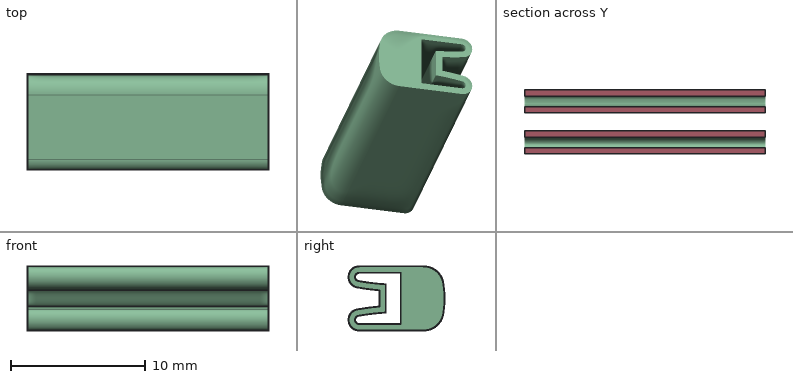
import cadquery as cq
import math

length = 18.0
depth = 7.18
height = 4.8

wall = 0.5
back_radius = 6.8
back_corner_radius = 1.5

lip_radius = 0.8
flank_radius = 18.0
flank_join_angle = math.radians(10.2)

groove_depth = 2.3
cavity_depth = 3.9

front_y = -depth / 2
back_y = depth / 2
half_height = height / 2
lip_y = front_y + lip_radius
lip_z = half_height - lip_radius
groove_y = front_y + groove_depth
web_y = groove_y + wall
cavity_y = front_y + cavity_depth

centre_offset = flank_radius - lip_radius
flank_centre_y = lip_y + centre_offset * math.sin(flank_join_angle)
flank_centre_z = lip_z + centre_offset * math.cos(flank_join_angle)

back_centre_y = back_y - back_radius
corner_z = half_height - back_corner_radius
back_angle = math.asin(corner_z / (back_radius - back_corner_radius))
corner_y = back_centre_y + (back_radius - back_corner_radius) * math.cos(back_angle)


def start_section(start_y, top_z):
    """Section on the -X end plane, begun with the straight run from start_y to the upper lip."""
    end_plane = cq.Workplane("YZ", origin=(-length / 2, 0, 0))
    return end_plane.moveTo(start_y, top_z).lineTo(lip_y, top_z)


def flank_point(y, inset):
    """Point at y on the upper lip's flank, inset from its outer surface."""
    radius = flank_radius - inset
    return y, flank_centre_z - math.sqrt(radius**2 - (y - flank_centre_y) ** 2)


def lip_join(inset):
    """Point where the upper lip's end arc meets its flank."""
    radius = lip_radius - inset
    return lip_y - radius * math.sin(flank_join_angle), lip_z - radius * math.cos(flank_join_angle)


def mirrored(point):
    """The same point on the lower half of the section."""
    return point[0], -point[1]


def lips(section, inset, web_face_y):
    """From the top of the upper lip, round both lips by way of the web, to the bottom of the lower lip."""
    tip = (lip_y - (lip_radius - inset), lip_z)
    join = lip_join(inset)
    web_corner = flank_point(web_face_y, inset)
    flank_middle = flank_point((join[0] + web_face_y) / 2, inset)
    lip_end = (lip_y, -(half_height - inset))
    return (
        section.threePointArc(tip, join)
        .threePointArc(flank_middle, web_corner)
        .lineTo(*mirrored(web_corner))
        .threePointArc(mirrored(flank_middle), mirrored(join))
        .threePointArc(mirrored(tip), lip_end)
    )


def corner_point(angle):
    """Point on the upper back corner arc, with the angle measured from +Y."""
    return (
        corner_y + back_corner_radius * math.cos(angle),
        corner_z + back_corner_radius * math.sin(angle),
    )


def make_body():
    """Extruded strip with a domed back and two rounded front lips."""
    corner_join = corner_point(back_angle)
    corner_middle = corner_point((back_angle + math.pi / 2) / 2)
    section = start_section(corner_y, half_height)
    section = (
        lips(section, 0, groove_y)
        .lineTo(corner_y, -half_height)
        .threePointArc(mirrored(corner_middle), mirrored(corner_join))
        .threePointArc((back_y, 0), corner_join)
        .threePointArc(corner_middle, (corner_y, half_height))
        .close()
    )
    return section.extrude(length)


def make_cavity():
    """Full-length hollow that follows the lips at one wall thickness."""
    cavity_top = half_height - wall
    section = start_section(cavity_y, cavity_top)
    section = lips(section, wall, web_y).lineTo(cavity_y, -cavity_top).close()
    return section.extrude(length)


result = make_body().cut(make_cavity())